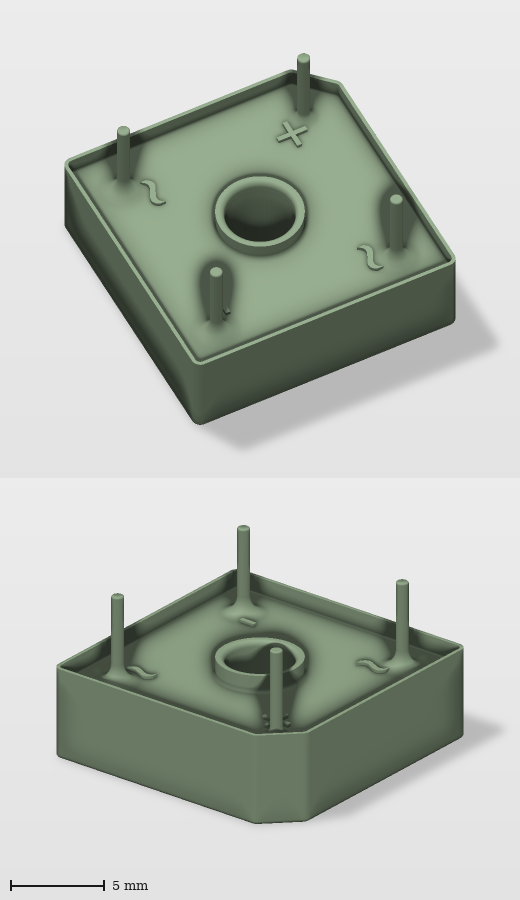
import cadquery as cq
import math

side = 15.75
case_height = 5.29
clipped_corner = 2.0
corner_radius = 0.5
bottom_edge_radius = 0.2
wall = 0.2
tray_depth = 1.0
tray_edge_radius = 0.1
floor_z = case_height - tray_depth

hole_radius = 1.9
collar_radius = 2.4
collar_base_radius = 0.2
hole_mouth_radius = 0.3

overall_height = 9.32
pin_radius = 0.35
pin_tip_radius = 0.1
pin_offset = 5.4
flare_radius = 1.0
positive_flare_radius = 0.5

arc_middle_inset = 1 - math.sqrt(0.5)

mark_height = 0.2
mark_stroke = 0.27
plus_length = 1.73
minus_length = 0.96
plus_center = (-4.49, 4.24)
minus_center = (4.28, -4.36)
tilde_centers = [(4.88, 4.1), (-4.35, -4.19)]
tilde_upper_edge = [(-0.88, 0.03), (-0.38, 0.33), (0.41, 0.0), (0.88, 0.33)]


def clipped_square(inset, height, base_z):
    """Prism with the case outline moved inwards by inset; the -X +Y corner is clipped."""
    half = side / 2 - inset
    clip = clipped_corner - inset * (2 - math.sqrt(2))
    outline = [
        (-half, -half),
        (half, -half),
        (half, half),
        (-half + clip, half),
        (-half, half - clip),
    ]
    prism = cq.Workplane("XY").workplane(offset=base_z).polyline(outline).close().extrude(height)
    return prism.edges("|Z").fillet(corner_radius - inset)


def case():
    body = clipped_square(0, case_height, 0).faces("<Z").edges().fillet(bottom_edge_radius)
    tray = clipped_square(wall, tray_depth, floor_z).faces("<Z").edges().fillet(tray_edge_radius)
    return body.cut(tray)


def foot_arc_middle(radius, foot_radius):
    """Middle of the concave quarter arc from the floor up to a cylinder of the given radius."""
    reach = foot_radius * arc_middle_inset
    return (radius + reach, floor_z + reach)


def collar():
    profile = (
        cq.Workplane("XZ")
        .moveTo(0, 0)
        .lineTo(collar_radius, 0)
        .lineTo(collar_radius, floor_z)
        .lineTo(collar_radius + collar_base_radius, floor_z)
        .threePointArc(
            foot_arc_middle(collar_radius, collar_base_radius),
            (collar_radius, floor_z + collar_base_radius),
        )
        .lineTo(collar_radius, case_height)
        .lineTo(0, case_height)
        .close()
    )
    return profile.revolve(360, (0, 0), (0, 1))


def mounting_hole():
    """Through hole whose upper mouth is rounded over."""
    mouth_z = case_height - hole_mouth_radius
    reach = hole_mouth_radius * arc_middle_inset
    profile = (
        cq.Workplane("XZ")
        .moveTo(0, 0)
        .lineTo(hole_radius, 0)
        .lineTo(hole_radius, mouth_z)
        .threePointArc(
            (hole_radius + reach, case_height - reach),
            (hole_radius + hole_mouth_radius, case_height),
        )
        .lineTo(0, case_height)
        .close()
    )
    return profile.revolve(360, (0, 0), (0, 1))


def pin(x, y, foot_radius):
    """Pin standing on the tray floor, with a flared foot and a rounded tip."""
    tip_reach = pin_tip_radius * arc_middle_inset
    profile = (
        cq.Workplane("XZ")
        .moveTo(0, floor_z)
        .lineTo(pin_radius + foot_radius, floor_z)
        .threePointArc(
            foot_arc_middle(pin_radius, foot_radius),
            (pin_radius, floor_z + foot_radius),
        )
        .lineTo(pin_radius, overall_height - pin_tip_radius)
        .threePointArc(
            (pin_radius - tip_reach, overall_height - tip_reach),
            (pin_radius - pin_tip_radius, overall_height),
        )
        .lineTo(0, overall_height)
        .close()
    )
    return profile.revolve(360, (0, 0), (0, 1)).translate((x, y, 0))


def bar(center, length, width):
    plane = cq.Workplane("XY").workplane(offset=floor_z)
    return plane.center(*center).rect(length, width).extrude(mark_height)


def tilde(center):
    lower_edge = [(-x, -y) for x, y in tilde_upper_edge]
    return (
        cq.Workplane("XY")
        .workplane(offset=floor_z)
        .center(*center)
        .moveTo(*tilde_upper_edge[0])
        .spline(tilde_upper_edge[1:], includeCurrent=True)
        .lineTo(*lower_edge[0])
        .spline(lower_edge[1:], includeCurrent=True)
        .close()
        .extrude(mark_height)
    )


result = case().union(collar()).cut(mounting_hole())

for x_sign in (-1, 1):
    for y_sign in (-1, 1):
        beside_clip = x_sign < 0 and y_sign > 0
        foot = positive_flare_radius if beside_clip else flare_radius
        result = result.union(pin(x_sign * pin_offset, y_sign * pin_offset, foot))

result = result.union(bar(plus_center, plus_length, mark_stroke))
result = result.union(bar(plus_center, mark_stroke, plus_length))
result = result.union(bar(minus_center, minus_length, mark_stroke))
for tilde_center in tilde_centers:
    result = result.union(tilde(tilde_center))